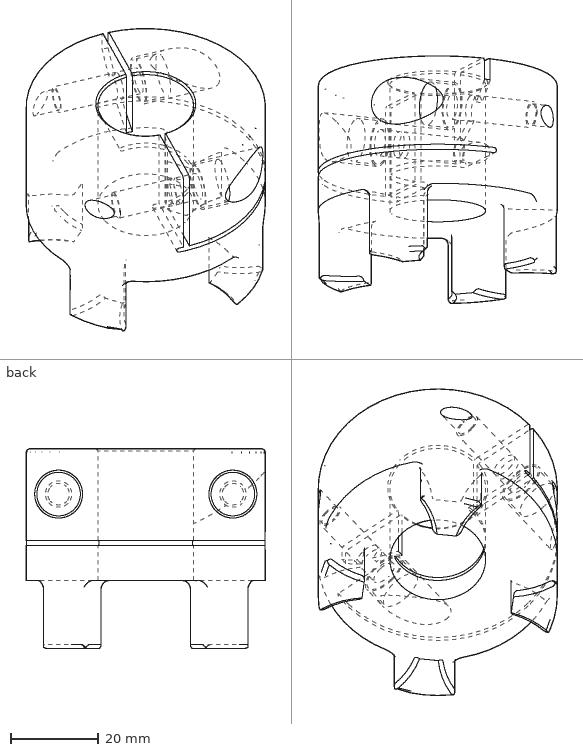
import cadquery as cq
import math

BODY_RADIUS = 27.5
BODY_HEIGHT = 30.3
BORE_RADIUS = 11.0
BORE_CHAMFER = 0.5
RIM_FILLET = 1.0

CLAW_COUNT = 4
CLAW_LENGTH = 15.7
CLAW_INNER_RADIUS = 17.25
CLAW_INNER_HALF_WIDTH = 3.2
CLAW_FLANK_MID_RADIUS = 21.2
CLAW_FLANK_MID_HALF_WIDTH = 4.4
CLAW_OUTER_HALF_WIDTH = 7.8
CLAW_EDGE_FILLET = 1.0
CLAW_ROOT_FILLET = 2.0
CLAW_TIP_CHAMFER = 1.0

CROSS_SLOT_WIDTH = 1.2
CROSS_SLOT_DEPTH = 21.65
CROSS_SLOT_END_Y = -2.3
SPLIT_WIDTH = 1.45
SAW_RADIUS = 50.0
HINGE_SLOT_DEPTH = 5.15

SCREW_OFFSET = 20.0
SCREW_DEPTH = 10.45
SHANK_RADIUS = 3.0
SHANK_END_Y = -14.5
HEAD_RADIUS = 5.0
HEAD_SEAT_Y = 5.5
HEAD_TOP_Y = 11.5
COUNTERBORE_RADIUS = 5.5
PILOT_RADIUS = 2.5

TOTAL_HEIGHT = BODY_HEIGHT + CLAW_LENGTH
CROSS_SLOT_Z = BODY_HEIGHT - CROSS_SLOT_DEPTH
SCREW_Z = BODY_HEIGHT - SCREW_DEPTH
SCREW_POSITIONS = (-SCREW_OFFSET, SCREW_OFFSET)
CLEAR = 2 * BODY_RADIUS
Z_AXIS = ((0, 0, 0), (0, 0, 1))


def claw_prism():
    """Sharp-edged claw along +X with concave flanks, from its tip up to the body."""
    outer_x = math.sqrt(BODY_RADIUS**2 - CLAW_OUTER_HALF_WIDTH**2)
    mid_x = CLAW_FLANK_MID_RADIUS
    mid_y = CLAW_FLANK_MID_HALF_WIDTH
    return (
        cq.Workplane("XY", origin=(0, 0, -CLAW_LENGTH))
        .moveTo(CLAW_INNER_RADIUS, -CLAW_INNER_HALF_WIDTH)
        .threePointArc((mid_x, -mid_y), (outer_x, -CLAW_OUTER_HALF_WIDTH))
        .threePointArc((BODY_RADIUS, 0), (outer_x, CLAW_OUTER_HALF_WIDTH))
        .threePointArc((mid_x, mid_y), (CLAW_INNER_RADIUS, CLAW_INNER_HALF_WIDTH))
        .close()
        .extrude(CLAW_LENGTH)
    )


def is_flank_edge(edge):
    """True for tip edges beside the claw's middle plane."""
    return abs(edge.Center().y) > CLAW_INNER_HALF_WIDTH / 2


def claw():
    """Claw whose rounded long edges cut through the chamfers of its two flanks."""
    chamfered = claw_prism().faces("<Z").edges().filter(is_flank_edge).chamfer(CLAW_TIP_CHAMFER)
    rounded = claw_prism().edges("|Z").fillet(CLAW_EDGE_FILLET)
    return chamfered.intersect(rounded)


def body_with_claws():
    """Solid round body with all claws, before any hole or slot."""
    disc_radius = BODY_RADIUS + 2 * CLAW_ROOT_FILLET
    blank = cq.Workplane("XY").circle(disc_radius).extrude(BODY_HEIGHT)
    for index in range(CLAW_COUNT):
        angle = (index + 0.5) * 360 / CLAW_COUNT
        blank = blank.union(claw().rotate(*Z_AXIS, angle))

    reach = CLAW_ROOT_FILLET / 2
    underside = cq.selectors.BoxSelector((-CLEAR, -CLEAR, -reach), (CLEAR, CLEAR, reach))
    roots = blank.edges(underside).filter(lambda edge: not edge.IsClosed())
    blank = roots.fillet(CLAW_ROOT_FILLET)

    envelope = (
        cq.Workplane("XY", origin=(0, 0, -CLAW_LENGTH))
        .circle(BODY_RADIUS)
        .extrude(TOTAL_HEIGHT)
        .edges()
        .fillet(RIM_FILLET)
    )
    return envelope.intersect(blank)


def bore_cutter():
    """Through bore with a chamfer at the top face."""
    mouth_radius = BORE_RADIUS + BORE_CHAMFER
    return (
        cq.Workplane("XZ")
        .polyline(
            [
                (0, 0),
                (BORE_RADIUS, 0),
                (BORE_RADIUS, BODY_HEIGHT - BORE_CHAMFER),
                (mouth_radius, BODY_HEIGHT),
                (0, BODY_HEIGHT),
            ]
        )
        .close()
        .revolve(360, (0, 0, 0), (0, 1, 0))
    )


def split_cutter():
    """Split at Y = 0: full depth toward +X, with a saw-disc run-out that leaves the hinge at -X."""
    rise = CROSS_SLOT_DEPTH - HINGE_SLOT_DEPTH
    run = math.sqrt(SAW_RADIUS**2 - (SAW_RADIUS - rise) ** 2)
    saw_x = run - BODY_RADIUS
    saw_z = CROSS_SLOT_Z + SAW_RADIUS
    run_out = (
        cq.Workplane("XZ", origin=(saw_x, 0, saw_z))
        .circle(SAW_RADIUS)
        .extrude(SPLIT_WIDTH / 2, both=True)
    )
    straight = cq.Workplane("XY", origin=(saw_x, 0, CROSS_SLOT_Z)).box(
        CLEAR, SPLIT_WIDTH, CLEAR, centered=(False, True, False)
    )
    return run_out.union(straight)


def cross_slot_cutter():
    """Slot along X below the clamp, with a half-round end just past the split."""
    end_radius = CROSS_SLOT_WIDTH / 2
    round_center = (0, CROSS_SLOT_END_Y + end_radius, CROSS_SLOT_Z)
    slot = cq.Workplane("XY", origin=round_center).box(
        CLEAR, CLEAR, CROSS_SLOT_WIDTH, centered=(True, False, True)
    )
    round_end = cq.Workplane("YZ", origin=round_center).circle(end_radius).extrude(BODY_RADIUS, both=True)
    return slot.union(round_end)


def cylinder_along_y(radius, x, y_start, y_end):
    """Cylinder parallel to Y at screw height."""
    base = cq.Workplane("XZ", origin=(x, y_start, SCREW_Z))
    return base.circle(radius).extrude(y_start - y_end)


def screw_hole_cutter(x):
    """Counterbore, shank hole and the narrower pilot hole that runs out at -Y."""
    counterbore = cylinder_along_y(COUNTERBORE_RADIUS, x, HEAD_SEAT_Y, BODY_RADIUS)
    shank_hole = cylinder_along_y(SHANK_RADIUS, x, SHANK_END_Y, HEAD_SEAT_Y)
    pilot_hole = cylinder_along_y(PILOT_RADIUS, x, -BODY_RADIUS, SHANK_END_Y)
    return counterbore.union(shank_hole).union(pilot_hole)


def clamping_hub():
    """Body with claws, bore, slots and screw holes, as one solid."""
    hub_solid = body_with_claws()
    hub_solid = hub_solid.cut(bore_cutter())
    hub_solid = hub_solid.cut(split_cutter())
    hub_solid = hub_solid.cut(cross_slot_cutter())
    for x in SCREW_POSITIONS:
        hub_solid = hub_solid.cut(screw_hole_cutter(x))
    return hub_solid


def clamp_screw(x):
    """Cap screw seated in its counterbore, filling the shank hole."""
    head = cylinder_along_y(HEAD_RADIUS, x, HEAD_SEAT_Y, HEAD_TOP_Y)
    shank = cylinder_along_y(SHANK_RADIUS, x, SHANK_END_Y, HEAD_SEAT_Y)
    return head.union(shank)


hub = clamping_hub()
clamp_screws = [clamp_screw(x) for x in SCREW_POSITIONS]

result = cq.Compound.makeCompound([hub.val(), *[screw.val() for screw in clamp_screws]])